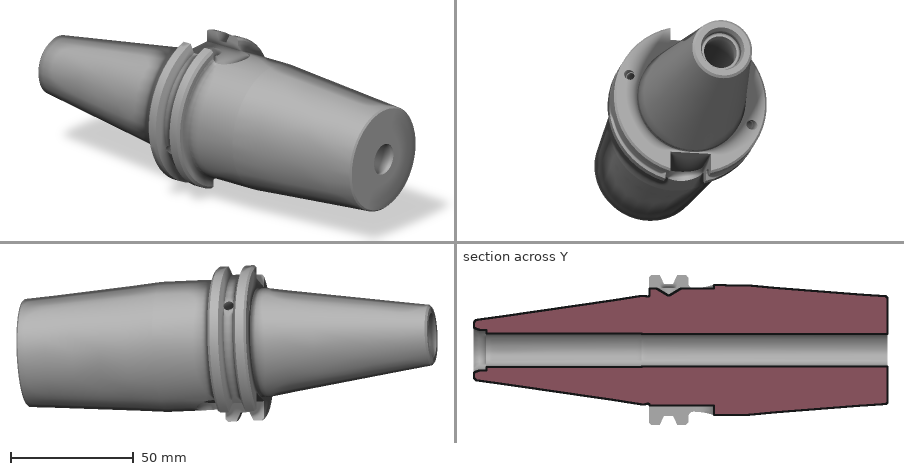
import cadquery as cq
import math


length = 168.2
gauge_x = 68.3
relief_x = 69.5
flange_start = 71.3
flange_end = 87.3
groove_x = 79.2
nose_start = 111.0

gauge_radius = 22.2
shank_taper = 7 / 24 / 2
shank_end_radius = gauge_radius - gauge_x * shank_taper
shank_chamfer_depth = 0.8
shank_chamfer_height = 0.8
relief_depth = 0.3
relief_lip = 0.7

flange_radius = 31.6
flange_front_chamfer = 0.8
flange_back_chamfer = 1.0
groove_radius = 28.1
groove_top_half = 3.5
groove_floor_half = 1.9

body_radius = 53.0 / 2
body_fillet = 2.0
nose_radius = 22.0
nose_chamfer = 0.7

bore_diameter = 13.5
deep_bore_diameter = 13.0
counterbore_diameter = 16.3
counterbore_mouth_diameter = 18.0
counterbore_chamfer = 2.4
counterbore_depth = 5.0

slot_width = 16.7
slot_end_x = 97.6
slot_center_x = slot_end_x - slot_width / 2
top_slot_floor = 25.0
bottom_slot_floor = 22.5
dimple_diameter = 9.6
dimple_point_angle = 118

coolant_angle = 20
coolant_mouth_radius = 27.0
coolant_tilt = 30
coolant_mouth_diameter = 4.0
coolant_mouth_depth = 1.5
coolant_diameter = 3.2
cross_hole_diameter = 4.2
cross_hole_floor = 22.7


def make_body():
    """Turned outside of the holder, with a solid core."""
    relief_mid_x = flange_start - relief_lip
    return (
        cq.Workplane("XY")
        .moveTo(0, 0)
        .lineTo(0, shank_end_radius - shank_chamfer_height)
        .lineTo(shank_chamfer_depth, shank_end_radius + shank_chamfer_depth * shank_taper)
        .lineTo(gauge_x, gauge_radius)
        .lineTo(relief_x, gauge_radius)
        .lineTo(relief_mid_x, gauge_radius - relief_depth)
        .lineTo(flange_start, gauge_radius)
        .lineTo(flange_start, flange_radius - flange_front_chamfer)
        .lineTo(flange_start + flange_front_chamfer, flange_radius)
        .lineTo(groove_x - groove_top_half, flange_radius)
        .lineTo(groove_x - groove_floor_half, groove_radius)
        .lineTo(groove_x + groove_floor_half, groove_radius)
        .lineTo(groove_x + groove_top_half, flange_radius)
        .lineTo(flange_end - flange_back_chamfer, flange_radius)
        .lineTo(flange_end, flange_radius - flange_back_chamfer)
        .lineTo(flange_end, body_radius + body_fillet)
        .radiusArc((flange_end + body_fillet, body_radius), -body_fillet)
        .lineTo(nose_start, body_radius)
        .lineTo(length - nose_chamfer, nose_radius)
        .lineTo(length, nose_radius - nose_chamfer)
        .lineTo(length, 0)
        .close()
        .revolve(360, (0, 0, 0), (1, 0, 0))
    )


def make_bore():
    """Through bore, narrower past the gauge plane, with a chamfered counterbore at the small end."""
    counterbore_radius = counterbore_diameter / 2
    return (
        cq.Workplane("XY")
        .moveTo(0, 0)
        .lineTo(0, counterbore_mouth_diameter / 2)
        .lineTo(counterbore_chamfer, counterbore_radius)
        .lineTo(counterbore_depth, counterbore_radius)
        .lineTo(counterbore_depth, bore_diameter / 2)
        .lineTo(gauge_x, bore_diameter / 2)
        .lineTo(gauge_x, deep_bore_diameter / 2)
        .lineTo(length, deep_bore_diameter / 2)
        .lineTo(length, 0)
        .close()
        .revolve(360, (0, 0, 0), (1, 0, 0))
    )


def make_slot(floor):
    """Round-ended drive slot above the given floor height, open through the flange face."""
    height = flange_radius - floor
    straight = slot_center_x - flange_start
    channel = cq.Workplane("XY", origin=(flange_start + straight / 2, 0, floor)).rect(straight, slot_width)
    round_end = cq.Workplane("XY", origin=(slot_center_x, 0, floor)).circle(slot_width / 2)
    return channel.extrude(height).union(round_end.extrude(height))


def make_dimple():
    """Conical drill point in the floor of the top slot."""
    radius = dimple_diameter / 2
    depth = radius / math.tan(math.radians(dimple_point_angle / 2))
    rim_center = cq.Vector(groove_x, 0, top_slot_floor)
    return cq.Workplane(cq.Solid.makeCone(radius, 0, depth, rim_center, cq.Vector(0, 0, -1)))


def make_coolant_channel():
    """Stepped hole tilted inward from the flange face, meeting a blind radial hole from the groove."""
    tilt = math.radians(coolant_tilt)
    inward = cq.Vector(math.cos(tilt), -math.sin(tilt), 0)
    mouth = cq.Vector(flange_start, coolant_mouth_radius, 0)
    lead = coolant_mouth_diameter
    mouth_hole = cq.Solid.makeCylinder(
        coolant_mouth_diameter / 2, lead + coolant_mouth_depth, mouth - inward * lead, inward
    )
    run = (groove_x - flange_start) / math.cos(tilt)
    tilted_hole = cq.Solid.makeCylinder(coolant_diameter / 2, run, mouth, inward)
    cross_hole = cq.Solid.makeCylinder(
        cross_hole_diameter / 2,
        flange_radius - cross_hole_floor,
        cq.Vector(groove_x, cross_hole_floor, 0),
        cq.Vector(0, 1, 0),
    )
    return cq.Workplane(mouth_hole).union(cq.Workplane(tilted_hole)).union(cq.Workplane(cross_hole))


result = make_body().cut(make_bore())

result = result.cut(make_slot(top_slot_floor)).cut(make_dimple())
bottom_slot = make_slot(bottom_slot_floor).rotate((0, 0, 0), (1, 0, 0), 180)
result = result.cut(bottom_slot)

coolant_channel = make_coolant_channel()
for turn in (coolant_angle, coolant_angle + 180):
    result = result.cut(coolant_channel.rotate((0, 0, 0), (1, 0, 0), turn))